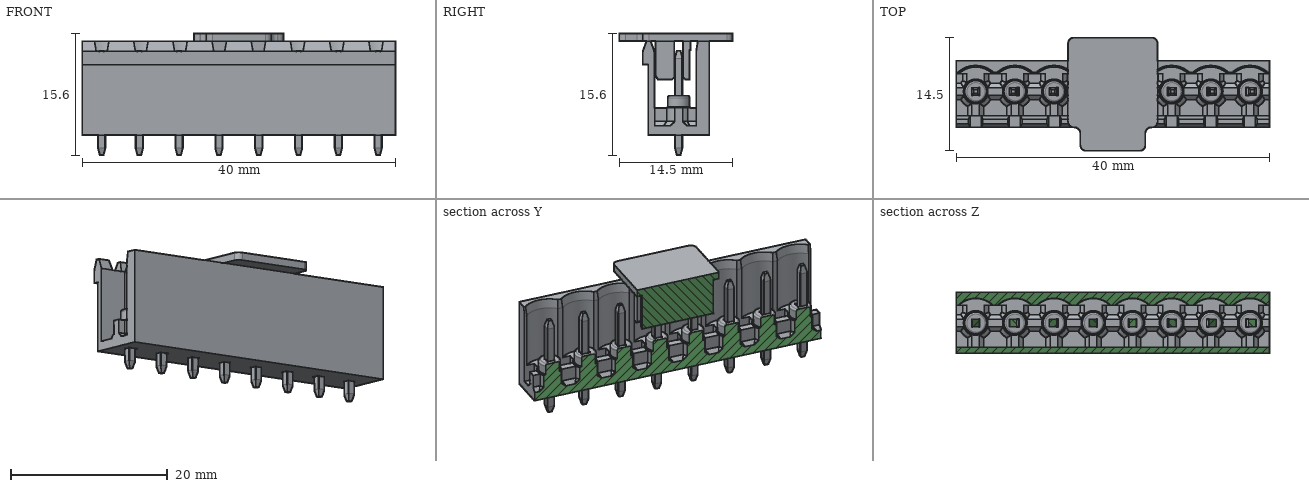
import cadquery as cq


LENGTH = 40.0
CELLS = 8
CELL_PITCH = LENGTH / CELLS
PIN_PITCH = 5.1

HEIGHT = 12.0
FLOOR = 1.2
BACK_OUTER = 3.9
BACK_INNER = 2.25
FRONT_OUTER = 3.9
FRONT_INNER = 3.1
LEAD_IN = 0.2
LEAD_IN_DEPTH = 1.15

RAIL_OUTER = 4.6
RAIL_BOTTOM = 9.0
RAIL_SHOULDER = 10.7
CREST_BACK = 3.55
CREST_FRONT = 4.1
NOTCH_TOP_WIDTH = 1.85
NOTCH_BOTTOM_WIDTH = 1.4

SCALLOP_RADIUS = 3.1

SUPPORT_TOP = 3.5
FOOT_FLARE = 0.55
FOOT_RISE = 0.55
BEAM_WIDTH = 1.0
BACK_RIB_WIDTH = 2.25
FRONT_RIB_WIDTH = 0.95
BOSS_RADIUS = 1.6
COLLAR_RADIUS = 1.4
COLLAR_TOP = 5.05
COLLAR_ROUND = 0.25
COLLAR_FLARE = 0.15
COLLAR_FLARE_HEIGHT = 0.1

PIN_WIDTH = 1.0
PIN_BOTTOM = -2.55
PIN_TOP = 10.8
PIN_EDGE_CHAMFER = 0.1
PIN_TIP_WIDTH = 0.5
PIN_TIP_LENGTH = 0.95

CAP_THICKNESS = 1.0
CAP_WIDTH = 11.45
CAP_BACK = 6.9
CAP_SHOULDER = -4.6
CAP_FRONT = -7.6
TAB_WIDTH = 8.3
CAP_RADIUS = 0.75
LEG_LENGTH = 2 * CELL_PITCH
LEG_BOTTOM = 7.1
LEG_SLOT = 1.1
BACK_LEG_FACE = 1.4
BACK_LEG_STEP = 0.1
FRONT_LEG_FACE = 2.95
LEG_SLOT_CHAMFER = 0.3
FRONT_LEG_CHAMFER_Y = 0.3
FRONT_LEG_CHAMFER_Z = 0.5

LEAD_IN_Z = HEIGHT - LEAD_IN_DEPTH
FOOT_TOP = FLOOR + FOOT_RISE
cell_centers = [(i - (CELLS - 1) / 2) * CELL_PITCH for i in range(CELLS)]
pin_centers = [(i - (CELLS - 1) / 2) * PIN_PITCH for i in range(CELLS)]
pin_centers[0] = cell_centers[0]


def extrude_along_x(points, length):
    """Prism with a (Y, Z) outline, centred on X = 0."""
    return cq.Workplane("YZ").polyline(points).close().extrude(length / 2, both=True)


def flared_outline(half_width):
    """Outline of a support wall whose foot spreads at the floor."""
    foot = half_width + FOOT_FLARE
    return [
        (-foot, 0),
        (-foot, FLOOR),
        (-half_width, FOOT_TOP),
        (-half_width, SUPPORT_TOP),
        (half_width, SUPPORT_TOP),
        (half_width, FOOT_TOP),
        (foot, FLOOR),
        (foot, 0),
    ]


def make_channel():
    """U-shaped channel, open at both ends, with the latch rail on its front wall."""
    outline = [
        (BACK_OUTER, 0),
        (BACK_OUTER, HEIGHT),
        (BACK_INNER + LEAD_IN, HEIGHT),
        (BACK_INNER, LEAD_IN_Z),
        (BACK_INNER, FLOOR),
        (-FRONT_INNER, FLOOR),
        (-FRONT_INNER, RAIL_SHOULDER),
        (-CREST_BACK, HEIGHT),
        (-CREST_FRONT, HEIGHT),
        (-RAIL_OUTER, RAIL_SHOULDER),
        (-RAIL_OUTER, RAIL_BOTTOM),
        (-FRONT_OUTER, RAIL_BOTTOM),
        (-FRONT_OUTER, 0),
    ]
    return extrude_along_x(outline, LENGTH)


def make_scallop():
    """Round recess of one cell, with a conical lead-in at its mouth."""
    outline = [
        (0, SUPPORT_TOP),
        (SCALLOP_RADIUS, SUPPORT_TOP),
        (SCALLOP_RADIUS, LEAD_IN_Z),
        (SCALLOP_RADIUS + LEAD_IN, HEIGHT),
        (0, HEIGHT),
    ]
    cutter = cq.Workplane("XZ").polyline(outline).close().revolve(360, (0, 0, 0), (0, 1, 0))
    behind_pins = cq.Workplane("XY").box(CELL_PITCH, BACK_OUTER, HEIGHT, centered=(True, False, False))
    return cutter.intersect(behind_pins)


def make_notch():
    """Tapered notch between two teeth of the latch rail."""
    outline = [
        (-NOTCH_BOTTOM_WIDTH / 2, RAIL_SHOULDER),
        (NOTCH_BOTTOM_WIDTH / 2, RAIL_SHOULDER),
        (NOTCH_TOP_WIDTH / 2, HEIGHT),
        (-NOTCH_TOP_WIDTH / 2, HEIGHT),
    ]
    return cq.Workplane("XZ").polyline(outline).close().extrude(RAIL_OUTER)


def make_rib(width, y_end):
    """Flared wall running from the pin row to the wall at y_end."""
    return cq.Workplane("XZ").polyline(flared_outline(width / 2)).close().extrude(-y_end)


def make_boss():
    """Round boss with a flared foot, carrying the collar around the pin."""
    flare_top = SUPPORT_TOP + COLLAR_FLARE_HEIGHT
    outline = (
        cq.Workplane("XZ")
        .moveTo(0, 0)
        .lineTo(BOSS_RADIUS + FOOT_FLARE, 0)
        .lineTo(BOSS_RADIUS + FOOT_FLARE, FLOOR)
        .lineTo(BOSS_RADIUS, FOOT_TOP)
        .lineTo(BOSS_RADIUS, SUPPORT_TOP)
        .lineTo(COLLAR_RADIUS + COLLAR_FLARE, SUPPORT_TOP)
        .lineTo(COLLAR_RADIUS, flare_top)
        .lineTo(COLLAR_RADIUS, COLLAR_TOP - COLLAR_ROUND)
        .radiusArc((COLLAR_RADIUS - COLLAR_ROUND, COLLAR_TOP), -COLLAR_ROUND)
        .lineTo(0, COLLAR_TOP)
        .close()
    )
    return outline.revolve(360, (0, 0, 0), (0, 1, 0))


def make_pin():
    """Square pin with broken long edges and tapered ends, standing on the Z axis."""
    half = PIN_WIDTH / 2
    half_tip = PIN_TIP_WIDTH / 2
    profile = [
        (half_tip, PIN_BOTTOM),
        (half, PIN_BOTTOM + PIN_TIP_LENGTH),
        (half, PIN_TOP - PIN_TIP_LENGTH),
        (half_tip, PIN_TOP),
        (-half_tip, PIN_TOP),
        (-half, PIN_TOP - PIN_TIP_LENGTH),
        (-half, PIN_BOTTOM + PIN_TIP_LENGTH),
        (-half_tip, PIN_BOTTOM),
    ]
    bar = (
        cq.Workplane("XY").workplane(offset=PIN_BOTTOM)
        .rect(PIN_WIDTH, PIN_WIDTH).extrude(PIN_TOP - PIN_BOTTOM)
        .edges("|Z").chamfer(PIN_EDGE_CHAMFER)
    )
    for plane in ("XZ", "YZ"):
        bar = bar.intersect(cq.Workplane(plane).polyline(profile).close().extrude(half, both=True))
    return bar


def make_housing(pins):
    """Channel with pin supports, scallops, rail notches and pin holes."""
    housing = make_channel()
    housing = housing.union(extrude_along_x(flared_outline(BEAM_WIDTH / 2), LENGTH))

    support = make_boss()
    support = support.union(make_rib(BACK_RIB_WIDTH, BACK_INNER))
    support = support.union(make_rib(FRONT_RIB_WIDTH, -FRONT_INNER))
    scallop = make_scallop()
    notch = make_notch()
    hole = cq.Workplane("XY").rect(PIN_WIDTH, PIN_WIDTH).extrude(COLLAR_TOP)

    for x in cell_centers:
        housing = housing.cut(scallop.translate((x, 0, 0)))
        housing = housing.cut(notch.translate((x, 0, 0)))
        housing = housing.union(support.translate((x, 0, 0)))
        housing = housing.cut(hole.translate((x, 0, 0)))

    for pin in pins:
        housing = housing.cut(pin)
    return housing


def make_cap():
    """Pick-and-place plate with a front tab and two legs that straddle the middle pins."""
    plate_depth = CAP_BACK - CAP_SHOULDER
    tab_depth = CAP_BACK - CAP_FRONT
    plate = (
        cq.Workplane("XY").workplane(offset=HEIGHT)
        .center(0, CAP_BACK - plate_depth / 2)
        .rect(CAP_WIDTH, plate_depth).extrude(CAP_THICKNESS)
    )
    tab = (
        cq.Workplane("XY").workplane(offset=HEIGHT)
        .center(0, CAP_BACK - tab_depth / 2)
        .rect(TAB_WIDTH, tab_depth).extrude(CAP_THICKNESS)
    )
    plate = plate.union(tab).edges("|Z").fillet(CAP_RADIUS)

    slot_side = LEG_SLOT / 2
    slot_chamfer_z = LEG_BOTTOM + LEG_SLOT_CHAMFER
    back_leg = [
        (slot_side, HEIGHT),
        (slot_side, slot_chamfer_z),
        (slot_side + LEG_SLOT_CHAMFER, LEG_BOTTOM),
        (BACK_LEG_FACE, LEG_BOTTOM),
        (BACK_LEG_FACE, LEAD_IN_Z),
        (BACK_LEG_FACE + BACK_LEG_STEP, LEAD_IN_Z),
        (BACK_LEG_FACE + BACK_LEG_STEP, HEIGHT),
    ]
    front_leg = [
        (-slot_side, HEIGHT),
        (-slot_side, slot_chamfer_z),
        (-slot_side - LEG_SLOT_CHAMFER, LEG_BOTTOM),
        (-FRONT_LEG_FACE + FRONT_LEG_CHAMFER_Y, LEG_BOTTOM),
        (-FRONT_LEG_FACE, LEG_BOTTOM + FRONT_LEG_CHAMFER_Z),
        (-FRONT_LEG_FACE, HEIGHT),
    ]
    for outline in (back_leg, front_leg):
        plate = plate.union(extrude_along_x(outline, LEG_LENGTH))
    return plate


pins = [make_pin().translate((x, 0, 0)) for x in pin_centers]
housing = make_housing(pins)
cap = make_cap()

pin_solids = [pin.solids().val() for pin in pins]
result = cq.Compound.makeCompound([housing.solids().val(), cap.solids().val(), *pin_solids])